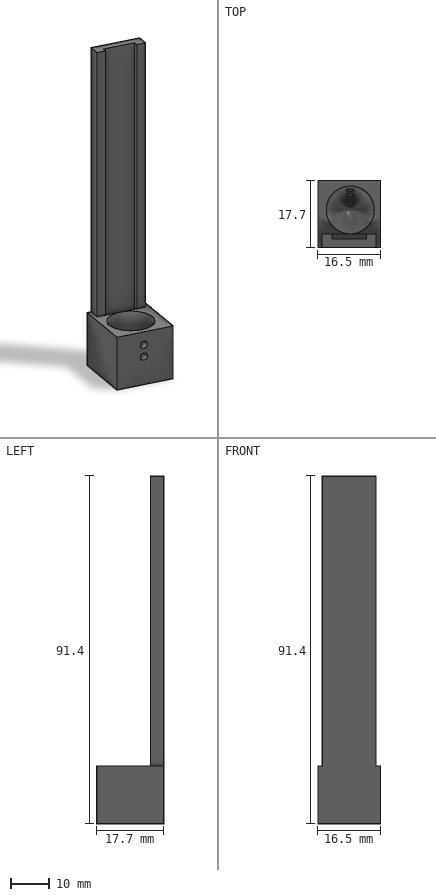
import cadquery as cq

BLOCK_WIDTH = 16.51
BLOCK_DEPTH = 17.68
BLOCK_HEIGHT = 15.24
TOTAL_HEIGHT = 91.44

CHANNEL_WIDTH = 14.22
CHANNEL_THICKNESS = 3.556

GROOVE_WIDTH = 9.144
GROOVE_DEPTH = 1.27
GROOVE_FLOOR_Z = 2.54

BOWL_RADIUS = 6.3
BOWL_DEPTH = 12.2
BOWL_X = 0.3
BOWL_Y = 9.9
BOWL_FLOOR_Z = BLOCK_HEIGHT - BOWL_DEPTH

PORT_DIAMETER = 2.03
UPPER_PORT_DEPTH = 3.75
PORT_SPACING = 3.4
PORT_DEPTHS = (UPPER_PORT_DEPTH, UPPER_PORT_DEPTH + PORT_SPACING)


def upright_box(width, depth, height, front_y=0, base_z=0):
    """Box centred on X, with its front face at front_y and its base at base_z."""
    return cq.Workplane("XY", origin=(0, front_y, base_z)).box(
        width, depth, height, centered=(True, False, False)
    )


def make_body():
    """Block with the upright channel's full section standing through it."""
    block = upright_box(BLOCK_WIDTH, BLOCK_DEPTH, BLOCK_HEIGHT)
    channel = upright_box(CHANNEL_WIDTH, CHANNEL_THICKNESS, TOTAL_HEIGHT)
    return block.union(channel)


def make_groove():
    return upright_box(
        GROOVE_WIDTH,
        GROOVE_DEPTH,
        TOTAL_HEIGHT - GROOVE_FLOOR_Z,
        front_y=CHANNEL_THICKNESS - GROOVE_DEPTH,
        base_z=GROOVE_FLOOR_Z,
    )


def make_bowl():
    """Solid paraboloid; a quadratic Bezier with its middle point at half radius is an exact parabola."""
    bottom = (0, BOWL_FLOOR_Z)
    middle = (BOWL_RADIUS / 2, BOWL_FLOOR_Z)
    rim = (BOWL_RADIUS, BLOCK_HEIGHT)
    return (
        cq.Workplane("XZ", origin=(BOWL_X, BOWL_Y, 0))
        .moveTo(*bottom)
        .bezier([bottom, middle, rim])
        .lineTo(0, BLOCK_HEIGHT)
        .close()
        .revolve(360, (0, 0, 0), (0, 1, 0))
    )


def make_port(depth):
    """Straight round hole from the bowl's axis out through the back face."""
    start = cq.Vector(BOWL_X, BOWL_Y, BLOCK_HEIGHT - depth)
    length = BLOCK_DEPTH - BOWL_Y
    backward = cq.Vector(0, 1, 0)
    return cq.Workplane(cq.Solid.makeCylinder(PORT_DIAMETER / 2, length, start, backward))


result = make_body().cut(make_groove()).cut(make_bowl())
for port_depth in PORT_DEPTHS:
    result = result.cut(make_port(port_depth))